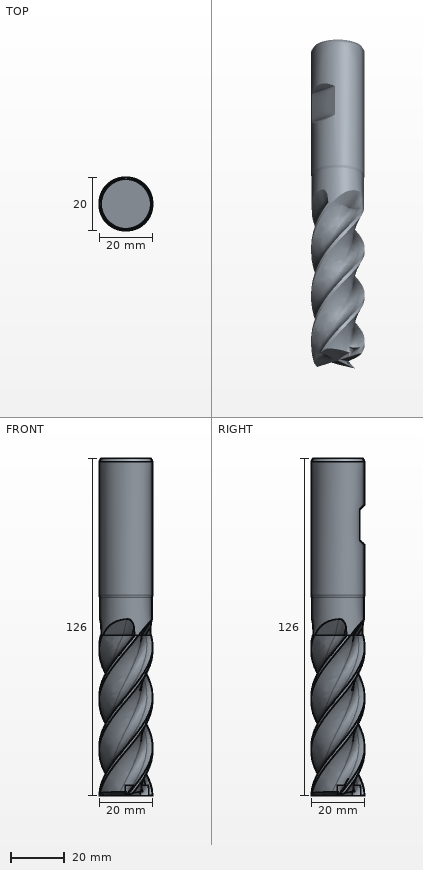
import cadquery as cq
import math


TOTAL_LENGTH = 126.0
FLUTE_COUNT = 4
TOOTH_PITCH = 360.0 / FLUTE_COUNT

CUTTER_RADIUS = 10.0
CUTTER_LENGTH = 60.0
HELIX_ANGLE = 40.0
HELIX_LEAD = 2 * math.pi * CUTTER_RADIUS / math.tan(math.radians(HELIX_ANGLE))
TWIST = 360.0 * CUTTER_LENGTH / HELIX_LEAD
CORNER_CHAMFER = 0.3

LAND_ANGLE = 8.6
ROOT_RADIUS = 6.0
ROOT_ANGLE = 59.5
RAKE_RADIUS = 7.73
RAKE_ANGLE = -2.0
GULLET_SAG = 0.55
BACK_BULGE = 0.4

EDGE_ANGLE = 1.5
CLEARANCE_WIDTH = 3.0
CLEARANCE_RISE = 1.2
CLEARANCE_END_SLOPE = math.tan(math.radians(7.0))

GASH_INNER_REACH = 5.3
GASH_OUTER_REACH = 8.5
GASH_HEIGHT = 3.9
GASH_FRONT = 0.4
GASH_WALL_LEAN = 0.78

SHANK_RADIUS = 10.0
SHANK_BOTTOM = 75.0
SHANK_TOP_CHAMFER_WIDTH = 0.75
SHANK_TOP_CHAMFER_HEIGHT = 1.3
NECK_RADIUS = 9.8
NECK_TOP = 74.0

FLAT_DEPTH = 1.8
FLAT_LENGTH = 11.5
FLAT_FROM_TOP = 24.9

RUNOUT_CLIMB = 6.6
RUNOUT_OUTWARD = 4.0
RUNOUT_SIDEWAYS = 2.2

CUT_MARGIN = 2.0


def polar(radius, angle):
    return (radius * math.cos(math.radians(angle)), radius * math.sin(math.radians(angle)))


def sagged_point(start, end, sag):
    """Point beside the middle of a chord, offset to its left by the sag."""
    dx = end[0] - start[0]
    dy = end[1] - start[1]
    length = math.hypot(dx, dy)
    return ((start[0] + end[0]) / 2 - sag * dy / length, (start[1] + end[1]) / 2 + sag * dx / length)


def tooth_points(edge_angle):
    """Heel and root of one tooth, and the inner end of the next tooth's rake face."""
    heel = polar(CUTTER_RADIUS, edge_angle + LAND_ANGLE)
    root = polar(ROOT_RADIUS, edge_angle + ROOT_ANGLE)
    rake = polar(RAKE_RADIUS, edge_angle + TOOTH_PITCH + RAKE_ANGLE)
    return heel, root, rake


def make_cutter():
    outline = cq.Workplane("XY").moveTo(*polar(CUTTER_RADIUS, EDGE_ANGLE))
    for tooth in range(FLUTE_COUNT):
        edge_angle = EDGE_ANGLE + tooth * TOOTH_PITCH
        heel, root, rake = tooth_points(edge_angle)
        outline = (
            outline.threePointArc(polar(CUTTER_RADIUS, edge_angle + LAND_ANGLE / 2), heel)
            .threePointArc(sagged_point(heel, root, -BACK_BULGE), root)
            .threePointArc(sagged_point(root, rake, GULLET_SAG), rake)
            .lineTo(*polar(CUTTER_RADIUS, edge_angle + TOOTH_PITCH))
        )
    body = outline.close().twistExtrude(CUTTER_LENGTH, TWIST)

    envelope = cq.Workplane("XY").circle(CUTTER_RADIUS).extrude(CUTTER_LENGTH)
    body = body.intersect(envelope.faces("<Z").chamfer(CORNER_CHAMFER))

    for tooth in range(FLUTE_COUNT):
        tooth_angle = EDGE_ANGLE + tooth * TOOTH_PITCH
        body = body.cut(make_end_clearance().rotate((0, 0, 0), (0, 0, 1), tooth_angle))
        body = body.cut(make_end_gash().rotate((0, 0, 0), (0, 0, 1), tooth_angle))
    return body


def make_end_clearance():
    """Relief under the tooth whose edge lies on -Y, ending at the tooth whose edge lies on +X."""
    reach = CUTTER_RADIUS + CUT_MARGIN
    end_rise = CLEARANCE_RISE + (reach - CLEARANCE_WIDTH) * CLEARANCE_END_SLOPE
    return (
        cq.Workplane("XZ")
        .moveTo(0, -CUT_MARGIN)
        .lineTo(0, 0)
        .lineTo(CLEARANCE_WIDTH, CLEARANCE_RISE)
        .lineTo(reach, end_rise)
        .lineTo(reach, -CUT_MARGIN)
        .close()
        .extrude(reach)
    )


def make_end_gash():
    """Pocket into the rake face of the tooth whose edge lies on +X."""
    return (
        cq.Workplane("YZ", origin=(GASH_INNER_REACH, 0, 0))
        .moveTo(-GASH_FRONT, -CUT_MARGIN)
        .lineTo(0, -CUT_MARGIN)
        .lineTo(0, 0)
        .lineTo(GASH_HEIGHT * GASH_WALL_LEAN, GASH_HEIGHT)
        .lineTo(-GASH_FRONT, GASH_HEIGHT)
        .close()
        .extrude(GASH_OUTER_REACH - GASH_INNER_REACH)
    )


def make_shank():
    top_radius = SHANK_RADIUS - SHANK_TOP_CHAMFER_WIDTH
    body = (
        cq.Workplane("XZ")
        .moveTo(0, CUTTER_LENGTH)
        .lineTo(NECK_RADIUS, CUTTER_LENGTH)
        .lineTo(NECK_RADIUS, NECK_TOP)
        .lineTo(SHANK_RADIUS, SHANK_BOTTOM)
        .lineTo(SHANK_RADIUS, TOTAL_LENGTH - SHANK_TOP_CHAMFER_HEIGHT)
        .lineTo(top_radius, TOTAL_LENGTH)
        .lineTo(0, TOTAL_LENGTH)
        .close()
        .revolve(360, (0, 0, 0), (0, 1, 0))
    )
    body = body.cut(make_clamping_flat())
    for tooth in range(FLUTE_COUNT):
        body = body.cut(make_flute_runout(EDGE_ANGLE + TWIST + tooth * TOOTH_PITCH))
    return body


def make_clamping_flat():
    depth = FLAT_DEPTH + CUT_MARGIN
    floor = SHANK_RADIUS - FLAT_DEPTH
    half_floor = FLAT_LENGTH / 2
    half_mouth = half_floor + depth
    return (
        cq.Workplane("YZ")
        .center(0, TOTAL_LENGTH - FLAT_FROM_TOP)
        .moveTo(floor, -half_floor)
        .lineTo(floor + depth, -half_mouth)
        .lineTo(floor + depth, half_mouth)
        .lineTo(floor, half_floor)
        .close()
        .extrude(SHANK_RADIUS, both=True)
    )


def make_flute_runout(edge_angle):
    """Flute section at the cutter's top, swept in a straight slanted line out of the neck."""
    heel, root, rake = tooth_points(edge_angle)
    next_angle = edge_angle + TOOTH_PITCH
    next_edge = polar(CUTTER_RADIUS, next_angle)
    outside = polar(2 * CUTTER_RADIUS, (edge_angle + LAND_ANGLE + next_angle) / 2)
    section = (
        cq.Workplane("XY", origin=(0, 0, CUTTER_LENGTH))
        .moveTo(*heel)
        .threePointArc(sagged_point(heel, root, -BACK_BULGE), root)
        .threePointArc(sagged_point(root, rake, GULLET_SAG), rake)
        .lineTo(*next_edge)
        .lineTo(*outside)
        .close()
    )
    root_angle = math.radians(edge_angle + ROOT_ANGLE)
    sweep = cq.Vector(
        RUNOUT_OUTWARD * math.cos(root_angle) - RUNOUT_SIDEWAYS * math.sin(root_angle),
        RUNOUT_OUTWARD * math.sin(root_angle) + RUNOUT_SIDEWAYS * math.cos(root_angle),
        RUNOUT_CLIMB,
    )
    return cq.Workplane(cq.Solid.extrudeLinear(section.val(), [], sweep * 2))


cutter = make_cutter()
shank = make_shank()

result = cq.Compound.makeCompound([cutter.val(), shank.val()])